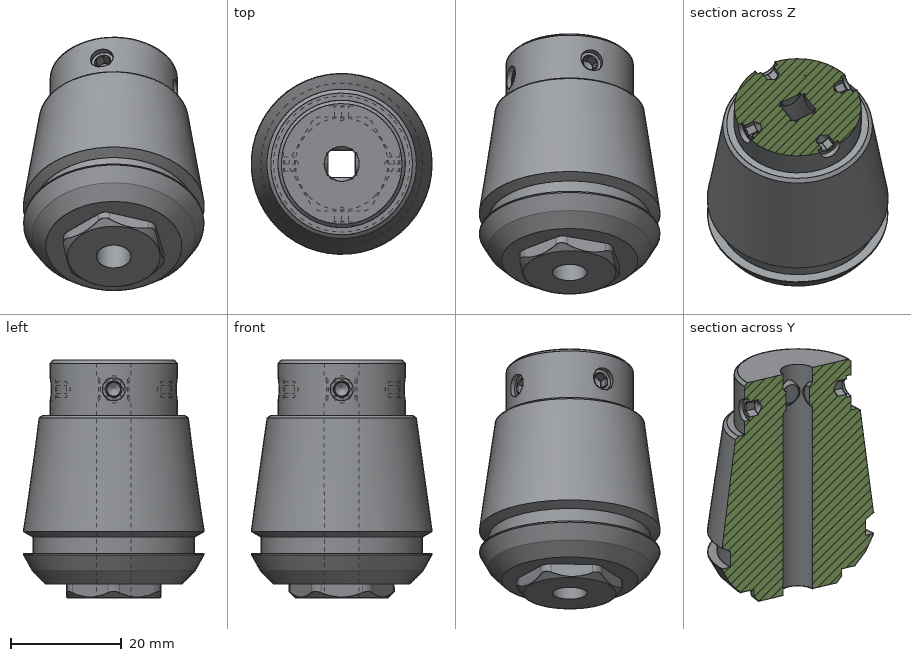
import cadquery as cq
import math

total_height = 43.0
collar_height = 10.0
shoulder_z = total_height - collar_height
skirt_bottom_z = 12.0
groove_top_z = 11.0
lip_top_z = 8.0
lip_edge_height = 0.25
lip_break_z = 4.9
hex_height = 2.5

collar_diameter = 23.0
shoulder_diameter = 27.0
skirt_diameter = 32.71
groove_diameter = 29.2
lip_diameter = 32.6
lip_break_diameter = 29.4
lip_bottom_diameter = 24.6
collar_chamfer = 0.6
shoulder_chamfer_height = 0.5
shoulder_chamfer_width = 0.7
bore_diameter = 6.3

hex_across_flats = 17.0
hex_corner_radius = 2.0
hex_face_diameter = 16.7

screw_count = 4
screw_z = 37.7
screw_hole_diameter = 4.13
screw_diameter = 5.0
screw_recess = 1.0
screw_tip_distance = 2.45
screw_tip_chamfer = 0.75
socket_across_flats = 2.5
socket_chamfer_diameter = 2.95
socket_depth = 2.0
drill_point_angle = 120.0


def hexagon_diameter(across_flats):
    """Diameter across the corners of a regular hexagon."""
    return across_flats / math.cos(math.pi / 6)


def make_body():
    """Turned collar, tapered skirt, groove and double-tapered lip."""
    profile = [
        (0, hex_height),
        (lip_bottom_diameter / 2, hex_height),
        (lip_break_diameter / 2, lip_break_z),
        (lip_diameter / 2, lip_top_z - lip_edge_height),
        (lip_diameter / 2, lip_top_z),
        (groove_diameter / 2, lip_top_z),
        (groove_diameter / 2, groove_top_z),
        (skirt_diameter / 2, skirt_bottom_z),
        (shoulder_diameter / 2, shoulder_z - shoulder_chamfer_height),
        (shoulder_diameter / 2 - shoulder_chamfer_width, shoulder_z),
        (collar_diameter / 2, shoulder_z),
        (collar_diameter / 2, total_height - collar_chamfer),
        (collar_diameter / 2 - collar_chamfer, total_height),
        (0, total_height),
    ]
    return cq.Workplane("XZ").polyline(profile).close().revolve(360, (0, 0, 0), (0, 1, 0))


def make_hex_drive():
    """Round-cornered hexagon whose bottom edge is turned to a 45 degree cone."""
    hexagon = (
        cq.Workplane("XY")
        .polygon(6, hexagon_diameter(hex_across_flats))
        .extrude(hex_height)
        .edges("|Z")
        .fillet(hex_corner_radius)
    )
    turned_envelope = (
        cq.Workplane("XY")
        .circle(hex_face_diameter / 2)
        .workplane(offset=hex_height)
        .circle(hex_face_diameter / 2 + hex_height)
        .loft(ruled=True)
    )
    return hexagon.intersect(turned_envelope)


def make_screw_hole():
    """Radial hole from the axis to the outside of the collar, along +X."""
    return (
        cq.Workplane("YZ")
        .center(0, screw_z)
        .circle(screw_hole_diameter / 2)
        .extrude(collar_diameter / 2)
    )


def make_set_screw():
    """Set screw along +X, wider than its hole so that it is joined to the collar wall."""
    face_x = collar_diameter / 2 - screw_recess
    screw = (
        cq.Workplane("YZ", origin=(screw_tip_distance, 0, screw_z))
        .circle(screw_diameter / 2)
        .extrude(face_x - screw_tip_distance)
        .faces("<X")
        .chamfer(screw_tip_chamfer)
    )
    socket = (
        cq.Workplane("YZ", origin=(face_x, 0, screw_z))
        .transformed(rotate=(0, 0, 90))
        .polygon(6, hexagon_diameter(socket_across_flats))
        .extrude(-socket_depth)
    )
    drill_radius = socket_across_flats / 2
    drill_point_depth = drill_radius / math.tan(math.radians(drill_point_angle / 2))
    drill_point = cq.Workplane("XY").add(
        cq.Solid.makeCone(
            drill_radius, 0, drill_point_depth,
            cq.Vector(face_x - socket_depth, 0, screw_z), cq.Vector(-1, 0, 0),
        )
    )
    mouth_radius = socket_chamfer_diameter / 2
    mouth = cq.Workplane("XY").add(
        cq.Solid.makeCone(
            mouth_radius, 0, mouth_radius,
            cq.Vector(face_x, 0, screw_z), cq.Vector(-1, 0, 0),
        )
    )
    return screw.cut(socket).cut(drill_point).cut(mouth)


def add_set_screws(part):
    """Place the set screws and their holes evenly around the collar."""
    screw_hole = make_screw_hole()
    set_screw = make_set_screw()
    for index in range(screw_count):
        angle = index * 360 / screw_count
        part = part.cut(screw_hole.rotate((0, 0, 0), (0, 0, 1), angle))
        part = part.union(set_screw.rotate((0, 0, 0), (0, 0, 1), angle))
    return part


bored_body = (
    make_body()
    .union(make_hex_drive())
    .cut(cq.Workplane("XY").circle(bore_diameter / 2).extrude(total_height))
)
result = add_set_screws(bored_body)